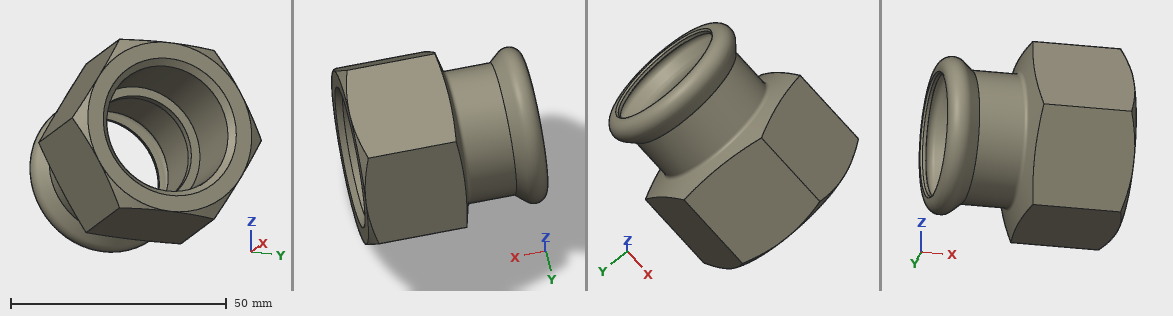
import cadquery as cq
import math

length = 43.6
corner_radius = 23.65
flat_radius = corner_radius * math.cos(math.pi / 6)

tube_radius = 31.3 / 2
bead_radius = 3.0
bead_center_radius = 15.5
bead_slope = math.radians(40)

hex_back = 20.92
back_slope = math.radians(15)
front_slope = math.radians(30)
neck_fillet = 1.0

socket_radius = 28.2 / 2
wall = tube_radius - socket_radius
lip_radius = 28.8 / 2
lip_chamfer_radius = 14.75
lip_chamfer_length = 0.45
lip_length = 1.3
bore_blend_radius = 3.3
stop_depth = 22.7
stop_fillet = 0.5

through_radius = 26.0 / 2
thread_radius = 30.3 / 2
thread_depth = 18.95
mouth_radius = 33.3 / 2


def revolve_about_x(profile):
    return profile.close().revolve(360, (0, 0, 0), (1, 0, 0))


def make_tube():
    """Solid tube with the end bead, running on into the hexagon."""
    arc_end_x = bead_radius * (1 + math.sin(bead_slope))
    arc_end_r = bead_center_radius + bead_radius * math.cos(bead_slope)
    cone_end_x = arc_end_x + (arc_end_r - tube_radius) / math.tan(bead_slope)
    return revolve_about_x(
        cq.Workplane("XY")
        .lineTo(0, bead_center_radius)
        .threePointArc((bead_radius, bead_center_radius + bead_radius), (arc_end_x, arc_end_r))
        .lineTo(cone_end_x, tube_radius)
        .lineTo(hex_back, tube_radius)
        .lineTo(hex_back, 0)
    )


def make_hexagon():
    """Hexagonal prism with its corners turned to a cone at both ends."""
    cone_start = hex_back - corner_radius * math.tan(back_slope)
    chamfer_length = (corner_radius - flat_radius) * math.tan(front_slope)
    prism = (
        cq.Workplane("YZ", origin=(cone_start, 0, 0))
        .polygon(6, 2 * corner_radius)
        .extrude(length - cone_start)
    )
    envelope = revolve_about_x(
        cq.Workplane("XY")
        .moveTo(cone_start, 0)
        .lineTo(hex_back, corner_radius)
        .lineTo(length - chamfer_length, corner_radius)
        .lineTo(length, flat_radius)
        .lineTo(length, 0)
    )
    return prism.intersect(envelope)


def make_neck_fillet():
    """Ring filling the corner between the tube and the rear cone."""
    corner_x = hex_back - (corner_radius - tube_radius) * math.tan(back_slope)
    tangent_length = neck_fillet * math.tan((math.pi / 2 - back_slope) / 2)
    cone_tangent_x = corner_x + tangent_length * math.sin(back_slope)
    cone_tangent_r = tube_radius + tangent_length * math.cos(back_slope)
    return revolve_about_x(
        cq.Workplane("XY")
        .moveTo(corner_x - tangent_length, 0)
        .lineTo(corner_x - tangent_length, tube_radius)
        .radiusArc((cone_tangent_x, cone_tangent_r), -neck_fillet)
        .lineTo(hex_back, cone_tangent_r)
        .lineTo(hex_back, 0)
    )


def make_socket_bore():
    """Socket cavity, from the lip to the stop shoulder."""
    groove_radius = bead_radius - wall
    groove_end_x = bead_radius + groove_radius * math.sin(bead_slope)
    groove_end_r = bead_center_radius + groove_radius * math.cos(bead_slope)
    blend_start_r = socket_radius + bore_blend_radius * (1 - math.cos(bead_slope))
    blend_start_x = groove_end_x + (groove_end_r - blend_start_r) / math.tan(bead_slope)
    blend_end_x = blend_start_x + bore_blend_radius * math.sin(bead_slope)
    return revolve_about_x(
        cq.Workplane("XY")
        .lineTo(0, lip_chamfer_radius)
        .lineTo(lip_chamfer_length, lip_radius)
        .lineTo(lip_length, lip_radius)
        .lineTo(wall, bead_center_radius)
        .threePointArc(
            (bead_radius, bead_center_radius + groove_radius), (groove_end_x, groove_end_r)
        )
        .lineTo(blend_start_x, blend_start_r)
        .tangentArcPoint((blend_end_x, socket_radius), relative=False)
        .lineTo(stop_depth - stop_fillet, socket_radius)
        .tangentArcPoint((stop_fillet, -stop_fillet))
        .lineTo(stop_depth, 0)
    )


def make_thread_bore():
    """Bore for the thread, countersunk at the open end."""
    return revolve_about_x(
        cq.Workplane("XY")
        .moveTo(length - thread_depth, 0)
        .lineTo(length - thread_depth, thread_radius)
        .lineTo(length - (mouth_radius - thread_radius), thread_radius)
        .lineTo(length, mouth_radius)
        .lineTo(length, 0)
    )


through_hole = cq.Workplane("YZ").circle(through_radius).extrude(length)

result = (
    make_tube()
    .union(make_hexagon())
    .union(make_neck_fillet())
    .cut(make_socket_bore())
    .cut(through_hole)
    .cut(make_thread_bore())
)